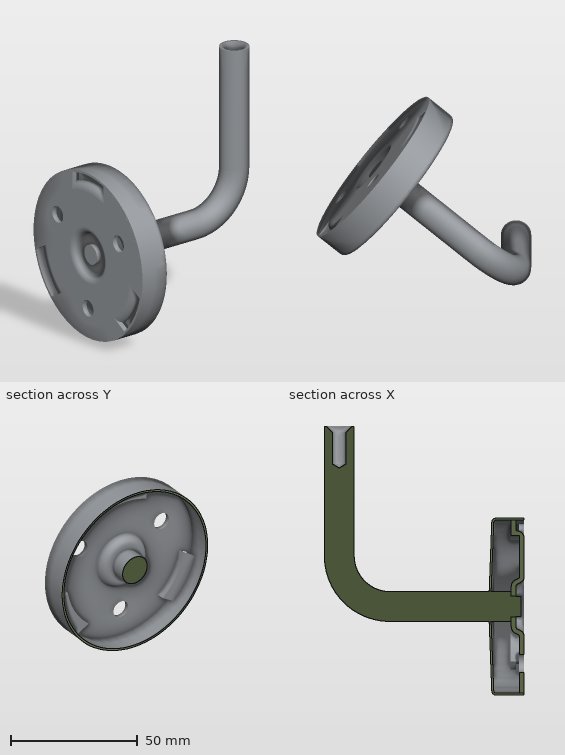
import cadquery as cq
import math


OVERALL_DEPTH = 79.0
OVERALL_HEIGHT = 106.0
ROSETTE_DIAMETER = 70.0
ROSETTE_RADIUS = ROSETTE_DIAMETER / 2

COVER_HEIGHT = 14.2
FACE_RISE = 1.3
COVER_EDGE_FILLET = 1.8
COVER_WALL = 1.0
COVER_INNER_RADIUS = ROSETTE_RADIUS - COVER_WALL

SHEET = 2.0
PRESS_DEPTH = 3.3
DISH_RADIUS = 11.8
DISH_WALL_ANGLE = math.radians(62)
DISH_RIM_BEND = 2.5
DISH_FLOOR_BEND = 1.0
SCREW_HOLE_DIAMETER = 7.0
SCREW_CIRCLE_RADIUS = 22.5
SCREW_ANGLES = (30, 150, 270)
TAB_WIDTH = 19.8
TAB_ROOT_RADIUS = 26.9
TAB_BEND = 3.1
TAB_ANGLES = (90, 210, 330)

ARM_DIAMETER = 12.0
ARM_RADIUS = ARM_DIAMETER / 2
ARM_BEND_RADIUS = 20.0
RIVET_DIAMETER = 8.2
RIVET_END_Y = 1.3
ARM_SHOULDER_Y = PRESS_DEPTH + SHEET
UPRIGHT_Y = OVERALL_DEPTH - ARM_RADIUS
ARM_TOP_Z = OVERALL_HEIGHT - ROSETTE_RADIUS
TOP_HOLE_DIAMETER = 5.0
TOP_HOLE_DEPTH = 14.8
TOP_SINK_DIAMETER = 10.0
TOP_SINK_ANGLE = 90
DRILL_POINT_ANGLE = 118


def revolve_about_y(profile):
    """Turn a closed (radius, Y) profile all the way round the Y axis."""
    return profile.revolve(360, (0, 0, 0), (0, 1, 0))


def y_cylinder(diameter, start_y, end_y, x=0, z=0):
    """Round bar along +Y from start_y to end_y."""
    start = cq.Vector(x, start_y, z)
    return cq.Workplane(cq.Solid.makeCylinder(diameter / 2, end_y - start_y, start, cq.Vector(0, 1, 0)))


def coned_disc(radius, height):
    """Solid disc on Y = 0 whose far face is a very shallow cone."""
    edge_height = height - FACE_RISE
    profile = cq.Workplane("XY").lineTo(radius, 0).lineTo(radius, edge_height).lineTo(0, height).close()
    return revolve_about_y(profile)


def filleted_disc(radius, height, fillet):
    """Coned disc with a rounded edge between its side and its conical face."""
    return coned_disc(radius, height).edges(cq.selectors.RadiusNthSelector(-1)).edges(">Y").fillet(fillet)


def make_cover():
    outside = filleted_disc(ROSETTE_RADIUS, COVER_HEIGHT, COVER_EDGE_FILLET)
    inside = filleted_disc(COVER_INNER_RADIUS, COVER_HEIGHT - COVER_WALL, COVER_EDGE_FILLET - COVER_WALL)
    arm_hole = y_cylinder(ARM_DIAMETER, 0, COVER_HEIGHT)
    return outside.cut(inside).cut(arm_hole)


def bend_point(center, radius, angle):
    """Point on a bend, at an angle measured from the -Y side of its center toward the axis."""
    return (center[0] - radius * math.sin(angle), center[1] - radius * math.cos(angle))


def dished_sheet():
    """Round sheet with the central dish pressed into it, before any cut-outs."""
    wall = DISH_WALL_ANGLE
    half = DISH_WALL_ANGLE / 2
    bend_drop = (DISH_RIM_BEND + DISH_FLOOR_BEND) * (1 - math.cos(wall))
    wall_run = (PRESS_DEPTH - bend_drop) / math.tan(wall)
    floor_radius = DISH_RADIUS - (DISH_RIM_BEND + DISH_FLOOR_BEND) * math.sin(wall) - wall_run
    rim_center = (DISH_RADIUS, DISH_RIM_BEND)
    floor_center = (floor_radius, PRESS_DEPTH - DISH_FLOOR_BEND)

    rim_front = DISH_RIM_BEND
    rim_back = DISH_RIM_BEND - SHEET
    floor_front = -DISH_FLOOR_BEND
    floor_back = -DISH_FLOOR_BEND - SHEET
    profile = (
        cq.Workplane("XY")
        .moveTo(COVER_INNER_RADIUS, 0)
        .lineTo(DISH_RADIUS, 0)
        .threePointArc(bend_point(rim_center, rim_front, half), bend_point(rim_center, rim_front, wall))
        .lineTo(*bend_point(floor_center, floor_front, wall))
        .threePointArc(bend_point(floor_center, floor_front, half), (floor_radius, PRESS_DEPTH))
        .lineTo(0, PRESS_DEPTH)
        .lineTo(0, PRESS_DEPTH + SHEET)
        .lineTo(floor_radius, PRESS_DEPTH + SHEET)
        .threePointArc(bend_point(floor_center, floor_back, half), bend_point(floor_center, floor_back, wall))
        .lineTo(*bend_point(rim_center, rim_back, wall))
        .threePointArc(bend_point(rim_center, rim_back, half), (DISH_RADIUS, SHEET))
        .lineTo(COVER_INNER_RADIUS, SHEET)
        .close()
    )
    return revolve_about_y(profile)


def tab_ring():
    """Full ring with the section of a tab: a bend into the cover, then a flat flange."""
    bend_end = TAB_ROOT_RADIUS + TAB_BEND
    bend_middle = TAB_BEND * math.sqrt(0.5)
    profile = (
        cq.Workplane("XY")
        .moveTo(TAB_ROOT_RADIUS, 0)
        .threePointArc((TAB_ROOT_RADIUS + bend_middle, TAB_BEND - bend_middle), (bend_end, TAB_BEND))
        .lineTo(bend_end, PRESS_DEPTH)
        .lineTo(COVER_INNER_RADIUS, PRESS_DEPTH)
        .lineTo(COVER_INNER_RADIUS, PRESS_DEPTH + SHEET)
        .lineTo(bend_end - SHEET, PRESS_DEPTH + SHEET)
        .lineTo(bend_end - SHEET, SHEET)
        .lineTo(TAB_ROOT_RADIUS, SHEET)
        .close()
    )
    return revolve_about_y(profile)


def tab_strip(angle):
    """Block as wide as a tab, running outward from the axis at the given angle."""
    strip = cq.Workplane("XY").box(ROSETTE_RADIUS, COVER_HEIGHT, TAB_WIDTH, centered=(False, False, True))
    return strip.rotate((0, 0, 0), (0, 1, 0), -angle)


def make_plate():
    plate = dished_sheet()
    tabs = tab_ring()
    window_ring = y_cylinder(ROSETTE_DIAMETER, 0, SHEET).cut(y_cylinder(2 * TAB_ROOT_RADIUS, 0, SHEET))
    for angle in TAB_ANGLES:
        strip = tab_strip(angle)
        plate = plate.cut(window_ring.intersect(strip)).union(tabs.intersect(strip))
    for angle in SCREW_ANGLES:
        x = SCREW_CIRCLE_RADIUS * math.cos(math.radians(angle))
        z = SCREW_CIRCLE_RADIUS * math.sin(math.radians(angle))
        plate = plate.cut(y_cylinder(SCREW_HOLE_DIAMETER, 0, SHEET, x, z))
    return plate.cut(y_cylinder(RIVET_DIAMETER, 0, ARM_SHOULDER_Y))


def top_hole():
    """Countersunk blind hole with a drill point, opening at the top of the arm."""
    hole_radius = TOP_HOLE_DIAMETER / 2
    sink_radius = TOP_SINK_DIAMETER / 2
    sink_depth = (sink_radius - hole_radius) / math.tan(math.radians(TOP_SINK_ANGLE / 2))
    point_depth = hole_radius / math.tan(math.radians(DRILL_POINT_ANGLE / 2))
    profile = (
        cq.Workplane("XZ")
        .lineTo(sink_radius, 0)
        .lineTo(hole_radius, -sink_depth)
        .lineTo(hole_radius, -TOP_HOLE_DEPTH)
        .lineTo(0, -TOP_HOLE_DEPTH - point_depth)
        .close()
    )
    return profile.revolve(360, (0, 0, 0), (0, 1, 0)).translate((0, UPRIGHT_Y, ARM_TOP_Z))


def make_arm():
    bend_start_y = UPRIGHT_Y - ARM_BEND_RADIUS
    bend_middle = ARM_BEND_RADIUS * math.sqrt(0.5)
    bend_halfway = (bend_start_y + bend_middle, ARM_BEND_RADIUS - bend_middle)
    path = (
        cq.Workplane("YZ")
        .moveTo(ARM_SHOULDER_Y, 0)
        .lineTo(bend_start_y, 0)
        .threePointArc(bend_halfway, (UPRIGHT_Y, ARM_BEND_RADIUS))
        .lineTo(UPRIGHT_Y, ARM_TOP_Z)
    )
    bar = cq.Workplane("XZ", origin=(0, ARM_SHOULDER_Y, 0)).circle(ARM_RADIUS).sweep(path)
    rivet = y_cylinder(RIVET_DIAMETER, RIVET_END_Y, ARM_SHOULDER_Y)
    return bar.union(rivet).cut(top_hole())


cover = make_cover().solids()
plate = make_plate().solids()
arm = make_arm().solids()

result = cq.Compound.makeCompound([cover.val(), plate.val(), arm.val()])